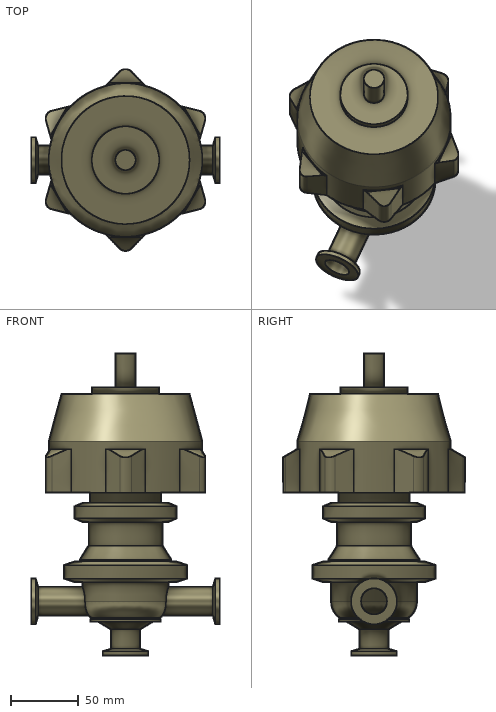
import cadquery as cq
import math

total_height = 224.2
port_height = 40.4
body_flange_bottom = 54.5
body_flange_top = 70.0
bonnet_cone_bottom = 71.3
bonnet_cone_top = 81.5
clamp_bottom = 99.0
clamp_top = 113.5
knob_bottom = 120.8
knob_shoulder = 159.2
knob_top = 194.2
cap_top = 199.0

pipe_radius = 21.7 / 2
ferrule_radius = 34.0 / 2
ferrule_lip = 3.4
ferrule_length = 5.2
side_bore = 19.3
foot_bore = 18.4
port_span = 140.0

bowl_radius = 64.0 / 2
ring_radius = 52.5 / 2
ring_bottom = 25.0
ring_top = 27.0
bowl_round_bottom = 28.2
foot_cone_bottom = 19.5
foot_cone_radius = 20.2
bowl_lower_radius = 25.8

body_flange_radius = 91.5 / 2
body_flange_face_radius = 37.7
body_flange_bevel = 2.7
bonnet_cone_radius = 68.0 / 2
bonnet_undercut_radius = 32.7
bonnet_radius = 55.0 / 2
clamp_radius = 76.0 / 2
clamp_face_radius = 31.6
clamp_bevel = 2.7
neck_radius = 53.0 / 2

knob_radius = 114.0 / 2
knob_top_radius = 47.5
cap_radius = 50.0 / 2
shaft_radius = 15.0 / 2
lobe_count = 6
lobe_reach = 67.5
lobe_tip_radius = 6.0
lobe_flank_angle = math.radians(46)
lobe_root = 44.8
lobe_tip_top = 147.0
lobe_inner_top = 153.1
lobe_inner_radius = 57.2


def make_bowl():
    """Solid bowl with a rounded underside, a thin ring and a cone to the foot pipe."""
    drop = port_height - bowl_round_bottom
    inset = bowl_radius - bowl_lower_radius
    round_radius = (drop**2 + inset**2) / (2 * inset)
    half_sweep = math.asin(drop / round_radius) / 2
    round_middle = (
        bowl_radius - round_radius * (1 - math.cos(half_sweep)),
        port_height - round_radius * math.sin(half_sweep),
    )
    return (
        cq.Workplane("XZ")
        .moveTo(0, foot_cone_bottom)
        .lineTo(pipe_radius, foot_cone_bottom)
        .lineTo(foot_cone_radius, ring_bottom)
        .lineTo(ring_radius, ring_bottom)
        .lineTo(ring_radius, ring_top)
        .lineTo(bowl_lower_radius, ring_top)
        .lineTo(bowl_lower_radius, bowl_round_bottom)
        .threePointArc(round_middle, (bowl_radius, port_height))
        .lineTo(bowl_radius, body_flange_bottom)
        .lineTo(0, body_flange_bottom)
        .close()
        .revolve(360, (0, 0), (0, 1))
    )


def make_bonnet():
    """Body flange, flared bonnet, clamp ring and neck, turned in one profile."""
    outline = [
        (0, body_flange_bottom),
        (body_flange_face_radius, body_flange_bottom),
        (body_flange_radius, body_flange_bottom + body_flange_bevel),
        (body_flange_radius, body_flange_top - body_flange_bevel),
        (body_flange_face_radius, body_flange_top),
        (bonnet_undercut_radius, body_flange_top),
        (bonnet_cone_radius, bonnet_cone_bottom),
        (bonnet_radius, bonnet_cone_top),
        (bonnet_radius, clamp_bottom),
        (clamp_face_radius, clamp_bottom),
        (clamp_radius, clamp_bottom + clamp_bevel),
        (clamp_radius, clamp_top - clamp_bevel),
        (clamp_face_radius, clamp_top),
        (neck_radius, clamp_top),
        (neck_radius, knob_bottom),
        (0, knob_bottom),
    ]
    return cq.Workplane("XZ").polyline(outline).close().revolve(360, (0, 0), (0, 1))


def make_knob():
    """Knob with a tapered crown, its cap disc and the indicator shaft."""
    return (
        cq.Workplane("XZ")
        .moveTo(0, knob_bottom)
        .lineTo(knob_radius, knob_bottom)
        .lineTo(knob_radius, knob_shoulder)
        .lineTo(knob_top_radius, knob_top)
        .lineTo(cap_radius, knob_top)
        .lineTo(cap_radius, cap_top)
        .lineTo(shaft_radius, cap_top)
        .lineTo(shaft_radius, total_height)
        .lineTo(0, total_height)
        .close()
        .revolve(360, (0, 0), (0, 1))
    )


def make_lobe():
    """Grip lobe pointing along +Y, with a rounded tip and a top sloping outward."""
    tip_half_width = lobe_tip_radius * math.sin(lobe_flank_angle)
    flank_end = lobe_reach - lobe_tip_radius * (1 - math.cos(lobe_flank_angle))
    root_half_width = tip_half_width + (flank_end - lobe_root) / math.tan(lobe_flank_angle)
    prism = (
        cq.Workplane("XY", origin=(0, 0, knob_bottom))
        .moveTo(-root_half_width, lobe_root)
        .lineTo(-tip_half_width, flank_end)
        .threePointArc((0, lobe_reach), (tip_half_width, flank_end))
        .lineTo(root_half_width, lobe_root)
        .close()
        .extrude(knob_shoulder - knob_bottom)
    )
    side_outline = [
        (lobe_root, knob_bottom),
        (lobe_reach, knob_bottom),
        (lobe_reach, lobe_tip_top),
        (lobe_inner_radius, lobe_inner_top),
        (lobe_root, lobe_inner_top),
    ]
    envelope = cq.Workplane("YZ").polyline(side_outline).close().extrude(root_half_width, both=True)
    return prism.intersect(envelope)


def make_pipe(length, bore):
    """Pipe rising along +Z from a bevelled ferrule whose face is at Z = 0."""
    outline = [
        (bore / 2, 0),
        (ferrule_radius, 0),
        (ferrule_radius, ferrule_lip),
        (pipe_radius, ferrule_length),
        (pipe_radius, length),
        (bore / 2, length),
    ]
    return cq.Workplane("XZ").polyline(outline).close().revolve(360, (0, 0), (0, 1))


result = make_bowl().union(make_bonnet()).union(make_knob())

for index in range(lobe_count):
    lobe = make_lobe().rotate((0, 0, 0), (0, 0, 1), index * 360 / lobe_count)
    result = result.union(lobe)

side_pipe = (
    make_pipe(port_span / 2, side_bore)
    .rotate((0, 0, 0), (0, 1, 0), 90)
    .translate((-port_span / 2, 0, port_height))
)
result = result.union(side_pipe).union(side_pipe.mirror("YZ"))

result = result.union(make_pipe(foot_cone_bottom, foot_bore))